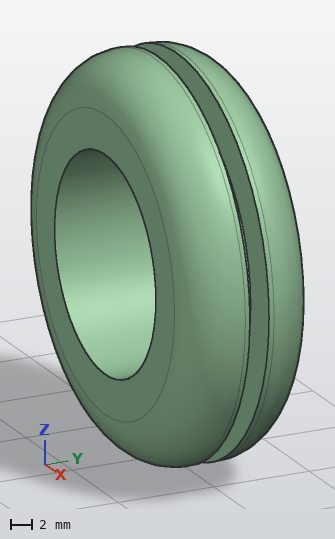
import cadquery as cq

outer_diameter = 40.0
bore_diameter = 22.0
groove_diameter = 32.0
total_width = 13.0
groove_width = 2.0
rim_radius = 5.0

flange_width = (total_width - groove_width) / 2


def disc(diameter, width, start_y):
    """Solid disc around the Y axis, extending from start_y toward +Y."""
    return (
        cq.Workplane("XZ", origin=(0, start_y, 0))
        .circle(diameter / 2)
        .extrude(-width)
    )


def flange(start_y, outer_face):
    """Disc with its outward-facing rim rounded, leaving a short straight edge."""
    return disc(outer_diameter, flange_width, start_y).faces(outer_face).edges().fillet(rim_radius)


front_flange = flange(-total_width / 2, "<Y")
back_flange = flange(groove_width / 2, ">Y")
core = disc(groove_diameter, groove_width, -groove_width / 2)
bore = disc(bore_diameter, total_width, -total_width / 2)

result = core.union(front_flange).union(back_flange).cut(bore)